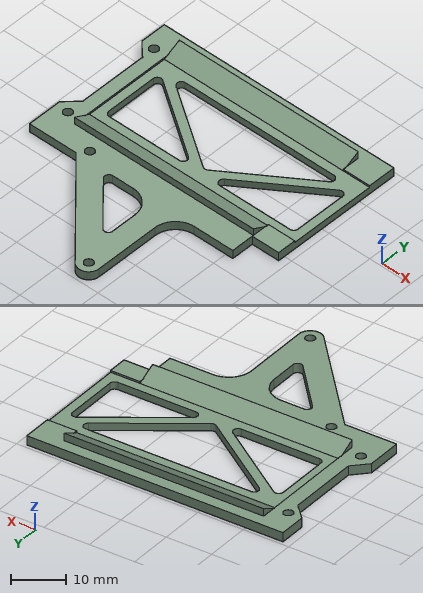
import cadquery as cq
import math

plate_length = 56.5
plate_width = 36.0
plate_thickness = 2.0

step_x = 50.0
step_y = 5.2

notch_depth = 3.0
notch_bottom = 8.0
notch_top = 30.0

pocket_left = 6.0
pocket_bottom = 9.5
pocket_top = 29.5
pocket_depth = 0.4
pocket_floor = plate_thickness - pocket_depth
rail_width = 4.0
rail_height = 2.0

rim = 2.0
strut_width = 2.0
window_radius = 1.0

hole_diameter = 2.0
edge_holes = [(3.0, 30.0), (3.0, 7.0)]
arm_root = (13.0, 2.0)
arm_tip = (33.0, -20.0)
arm_half_width = 2.5
arm_fillet = 5.0
arm_run = arm_tip[0] - arm_root[0]
arm_rise = arm_tip[1] - arm_root[1]
arm_length = math.hypot(arm_run, arm_rise)


def offset_line_x(y, offset):
    """X at height y on the line parallel to the arm centreline, offset towards +X."""
    x_shift = offset * arm_length / abs(arm_rise)
    return arm_root[0] + x_shift + (y - arm_root[1]) * arm_run / arm_rise


def offset_line_y(x, offset):
    """Y at position x on the same offset line."""
    x_on_root_level = offset_line_x(arm_root[1], offset)
    return arm_root[1] + (x - x_on_root_level) * arm_rise / arm_run


def prism(points):
    """Straight-sided outline extruded through the plate thickness."""
    return cq.Workplane("XY").polyline(points).close().extrude(plate_thickness)


def make_plate():
    outline = [
        (0, 0),
        (step_x, 0),
        (step_x, step_y),
        (plate_length, step_y),
        (plate_length, plate_width),
        (0, plate_width),
        (0, notch_top),
        (notch_depth, notch_top - notch_depth),
        (notch_depth, notch_bottom + notch_depth),
        (0, notch_bottom),
    ]
    return prism(outline)


def make_arm():
    """Arm below the plate: slanted left side, round tip and filleted upright right side."""
    tangent_point = (
        arm_tip[0] + arm_half_width * arm_rise / arm_length,
        arm_tip[1] - arm_half_width * arm_run / arm_length,
    )
    right_side = arm_tip[0] + arm_half_width
    tip_bottom = (arm_tip[0], arm_tip[1] - arm_half_width)
    fillet_mid = arm_fillet * (1 - math.sqrt(0.5))
    return (
        cq.Workplane("XY")
        .moveTo(offset_line_x(0, -arm_half_width), 0)
        .lineTo(*tangent_point)
        .threePointArc(tip_bottom, (right_side, arm_tip[1]))
        .lineTo(right_side, -arm_fillet)
        .threePointArc((right_side + fillet_mid, -fillet_mid), (right_side + arm_fillet, 0))
        .close()
        .extrude(plate_thickness)
    )


def make_arm_window():
    """Triangular opening that leaves an arm-wide bar along its slanted and upright sides."""
    right = arm_tip[0] - arm_half_width
    corner_left = (offset_line_x(0, arm_half_width), 0)
    corner_bottom = (right, offset_line_y(right, arm_half_width))
    corners = [(corner_left, window_radius), ((right, 0), arm_fillet), (corner_bottom, window_radius)]
    window = prism([corner for corner, _ in corners])
    for (x, y), radius in corners:
        corner_edge = cq.selectors.NearestToPointSelector((x, y, plate_thickness / 2))
        window = window.edges("|Z").edges(corner_edge).fillet(radius)
    return window


def make_truss_windows():
    """Three rounded triangles separated by two struts that meet in a V."""
    left = pocket_left + rim
    right = plate_length - rim
    bottom = pocket_bottom + rim
    top = pocket_top - rim
    middle = (left + right) / 2
    slope = (top - bottom) / (middle - left)
    y_shift = strut_width / 2 * math.hypot(1, slope)
    x_shift = y_shift / slope
    triangles = [
        [(left + x_shift, top), (right - x_shift, top), (middle, bottom + y_shift)],
        [(left, top - y_shift), (left, bottom), (middle - x_shift, bottom)],
        [(right, top - y_shift), (right, bottom), (middle + x_shift, bottom)],
    ]
    windows = cq.Workplane("XY")
    for triangle in triangles:
        windows = windows.add(prism(triangle).edges("|Z").fillet(window_radius))
    return windows.combine()


def make_pocket():
    return (
        cq.Workplane("XY")
        .box(plate_length - pocket_left, pocket_top - pocket_bottom, pocket_depth, centered=False)
        .translate((pocket_left, pocket_bottom, pocket_floor))
    )


def rail_prism(profile):
    """YZ profile extruded over the length of a rail."""
    section = cq.Workplane("YZ").workplane(offset=pocket_left).polyline(profile).close()
    return section.extrude(step_x - pocket_left)


def make_rail(pocket_side, outward):
    """Wedge rail rising from the pocket floor at pocket_side to its full height outward."""
    outer = pocket_side + outward * rail_width
    return rail_prism([
        (pocket_side, pocket_floor),
        (outer, pocket_floor),
        (outer, pocket_floor + rail_height),
    ])


def make_rail_clearance(pocket_side, outward):
    """Plate material above the low end of the rail slope, beside the pocket."""
    slope_run = rail_width * pocket_depth / rail_height
    return rail_prism([
        (pocket_side, pocket_floor),
        (pocket_side, plate_thickness),
        (pocket_side + outward * slope_run, plate_thickness),
    ])


def make_holes():
    return (
        cq.Workplane("XY")
        .pushPoints(edge_holes + [arm_root, arm_tip])
        .circle(hole_diameter / 2)
        .extrude(plate_thickness)
    )


result = make_plate().union(make_arm())
result = result.cut(make_arm_window()).cut(make_pocket()).cut(make_truss_windows()).cut(make_holes())
for pocket_side, outward in ((pocket_bottom, -1), (pocket_top, 1)):
    result = result.cut(make_rail_clearance(pocket_side, outward))
    result = result.union(make_rail(pocket_side, outward))